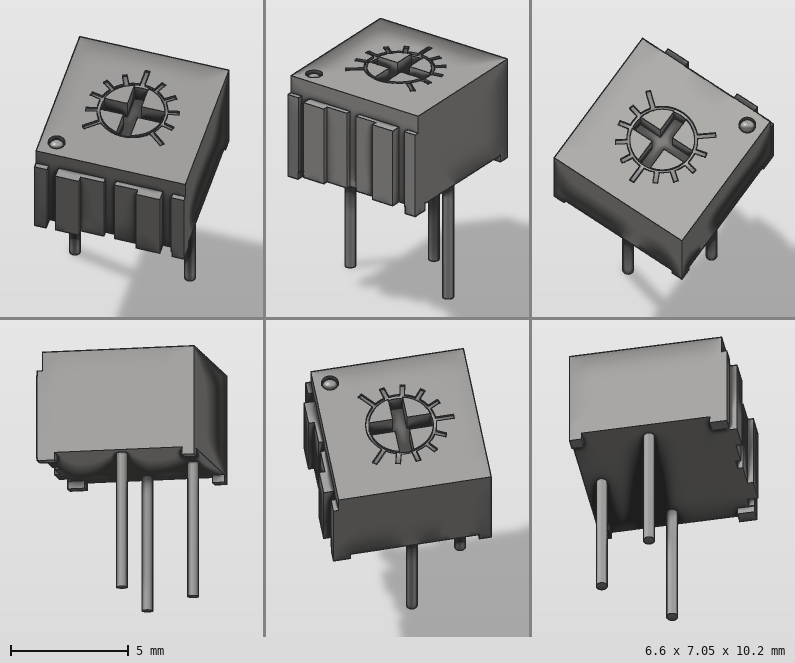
import cadquery as cq

body_width = 6.6
body_depth = 6.58
body_height = 4.36
overall_depth = 7.05
overall_height = 10.17

foot_size = 0.52
foot_drop = 0.33

rib_top = -0.8
rail_width = 0.56
thin_projection = 0.22
thick_projection = overall_depth - body_depth
rib_inner_x = 0.23
rib_step_x = 1.26
rib_outer_x = 2.31

pin_diameter = 0.47
pin_pitch = 2.54

rotor_radius = 1.37
ring_radius = 1.51
groove_depth = 0.1
slot_width = 0.62
slot_depth = 0.9

mark_angle_step = 26.0
marks_per_side = 5
mark_width = 0.2
long_mark_end = 2.28
short_mark_end = 1.98

marker_radius = 0.36
marker_depth = 0.37
marker_offset = 2.59

front_y = -body_depth / 2
body_bottom = -body_height
foot_bottom = body_bottom - foot_drop


def block(x_min, x_max, y_min, y_max, z_min, z_max):
    """Box between the given limits."""
    size = (x_max - x_min, y_max - y_min, z_max - z_min)
    return cq.Workplane("XY").box(*size, centered=False).translate((x_min, y_min, z_min))


def make_feet():
    """Square foot under each corner of the body."""
    x_offset = (body_width - foot_size) / 2
    y_offset = (body_depth - foot_size) / 2
    corners = [(sx * x_offset, sy * y_offset) for sx in (-1, 1) for sy in (-1, 1)]
    feet = cq.Workplane("XY").workplane(offset=foot_bottom).pushPoints(corners)
    return feet.rect(foot_size, foot_size).extrude(foot_drop)


def make_front_ribs():
    """Corner rail, thick rib and thin rib on the right half, mirrored to the left."""
    thin_y = front_y - thin_projection
    thick_y = front_y - thick_projection
    edge_x = body_width / 2
    foot_x = edge_x - foot_size
    rail = block(edge_x - rail_width, edge_x, thin_y, front_y, body_bottom, rib_top)
    rail_foot = block(foot_x, edge_x, thin_y, front_y, foot_bottom, body_bottom)
    thin_rib = block(rib_inner_x, rib_step_x, thin_y, front_y, body_bottom, rib_top)
    thick_rib = block(rib_step_x, rib_outer_x, thick_y, front_y, body_bottom, rib_top)
    half = rail.union(rail_foot).union(thin_rib).union(thick_rib)
    return half.union(half.mirror("YZ"))


def make_pins():
    """Two outer pins on the centre line and the middle pin one pitch behind them."""
    places = [(-pin_pitch, 0), (0, pin_pitch), (pin_pitch, 0)]
    pins = cq.Workplane("XY").workplane(offset=-overall_height).pushPoints(places)
    return pins.circle(pin_diameter / 2).extrude(overall_height - body_height)


def make_dial_cut():
    """Shallow ring groove with radial marks; the end marks and the middle one are long."""
    marks = cq.Workplane("XY")
    for step in range(-marks_per_side, marks_per_side + 1):
        is_long = step in (-marks_per_side, 0, marks_per_side)
        mark_end = long_mark_end if is_long else short_mark_end
        mark = block(-mark_width / 2, mark_width / 2, rotor_radius, mark_end, -groove_depth, 0)
        marks = marks.add(mark.rotate((0, 0, 0), (0, 0, 1), step * mark_angle_step))
    disc = cq.Workplane("XY").circle(ring_radius).extrude(-groove_depth)
    rotor = cq.Workplane("XY").circle(rotor_radius).extrude(-groove_depth)
    return disc.union(marks.combine()).cut(rotor)


def make_cross_slot():
    """Screwdriver cross reaching to the rim of the rotor."""
    length = 2 * rotor_radius
    slots = cq.Workplane("XY").rect(length, slot_width).extrude(-slot_depth)
    slots = slots.union(cq.Workplane("XY").rect(slot_width, length).extrude(-slot_depth))
    return slots.intersect(cq.Workplane("XY").circle(rotor_radius).extrude(-slot_depth))


def make_marker_cut():
    """Pin-one pocket in the front left corner, less the hemisphere left standing in it."""
    pocket = cq.Workplane("XY").circle(marker_radius).extrude(-marker_depth)
    dome = cq.Workplane("XY").sphere(marker_radius).translate((0, 0, -marker_depth))
    return pocket.cut(dome).translate((-marker_offset, -marker_offset, 0))


body = cq.Workplane("XY").rect(body_width, body_depth).extrude(-body_height)
part = body.union(make_feet()).union(make_front_ribs()).union(make_pins())
result = part.cut(make_dial_cut()).cut(make_cross_slot()).cut(make_marker_cut())